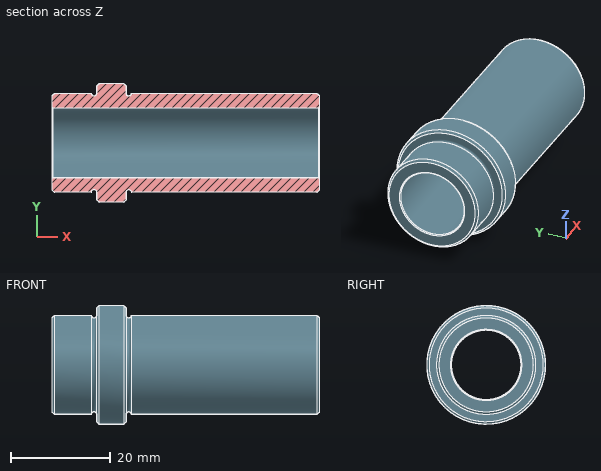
import cadquery as cq

length = 54.0
body_diameter = 20.0
collar_diameter = 24.0
bore_diameter = 14.0
collar_start = 9.0
collar_end = 15.0
edge_chamfer = 0.5
groove_radius = 0.5
bore_chamfer = 0.2

body_radius = body_diameter / 2
collar_radius = collar_diameter / 2
bore_radius = bore_diameter / 2


def sleeve_profile():
    """Half section of the sleeve, with a round relief groove on each side of the collar."""
    groove_bottom = body_radius - groove_radius
    groove_width = 2 * groove_radius
    return (
        cq.Workplane("XY")
        .moveTo(0, bore_radius + bore_chamfer)
        .lineTo(0, body_radius - edge_chamfer)
        .lineTo(edge_chamfer, body_radius)
        .lineTo(collar_start - groove_width, body_radius)
        .threePointArc((collar_start - groove_radius, groove_bottom), (collar_start, body_radius))
        .lineTo(collar_start, collar_radius - edge_chamfer)
        .lineTo(collar_start + edge_chamfer, collar_radius)
        .lineTo(collar_end - edge_chamfer, collar_radius)
        .lineTo(collar_end, collar_radius - edge_chamfer)
        .lineTo(collar_end, body_radius)
        .threePointArc((collar_end + groove_radius, groove_bottom), (collar_end + groove_width, body_radius))
        .lineTo(length - edge_chamfer, body_radius)
        .lineTo(length, body_radius - edge_chamfer)
        .lineTo(length, bore_radius + bore_chamfer)
        .lineTo(length - bore_chamfer, bore_radius)
        .lineTo(bore_chamfer, bore_radius)
        .close()
    )


result = sleeve_profile().revolve(360, (0, 0, 0), (1, 0, 0))